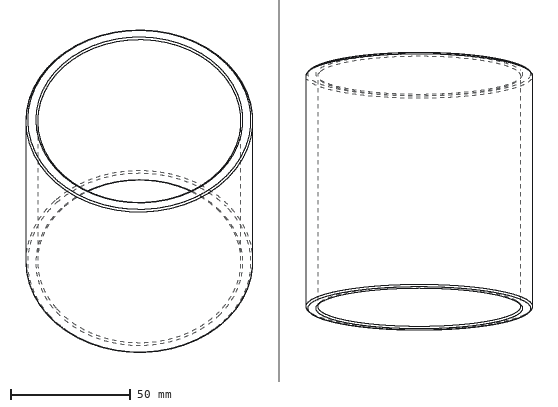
import cadquery as cq

outer_diameter = 95.0
inner_diameter = 85.0
length = 100.0
edge_chamfer = 0.8

sleeve = (
    cq.Workplane("XY")
    .workplane(offset=-length / 2)
    .circle(outer_diameter / 2)
    .circle(inner_diameter / 2)
    .extrude(length)
)

result = sleeve.faces("<Z or >Z").edges().chamfer(edge_chamfer)